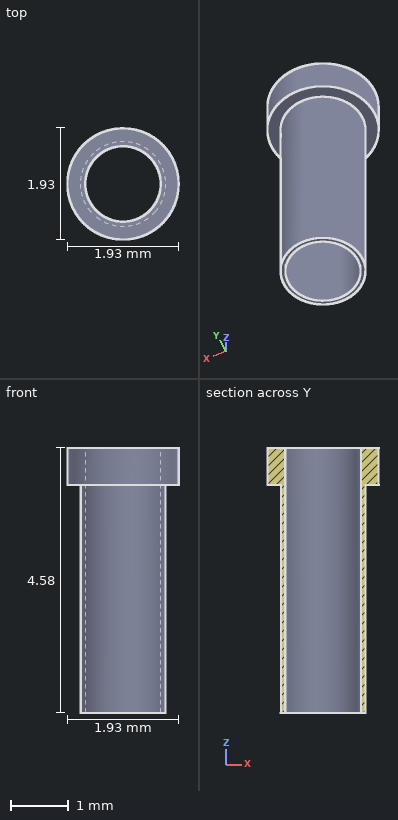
import cadquery as cq

total_length = 4.58
head_diameter = 1.93
head_height = 0.64
shank_diameter = 1.47
bore_diameter = 1.3

shank_length = total_length - head_height

shank = cq.Workplane("XY").circle(shank_diameter / 2).extrude(shank_length)
head = (
    cq.Workplane("XY")
    .workplane(offset=shank_length)
    .circle(head_diameter / 2)
    .extrude(head_height)
)
bore = cq.Workplane("XY").circle(bore_diameter / 2).extrude(total_length)

result = shank.union(head).cut(bore)